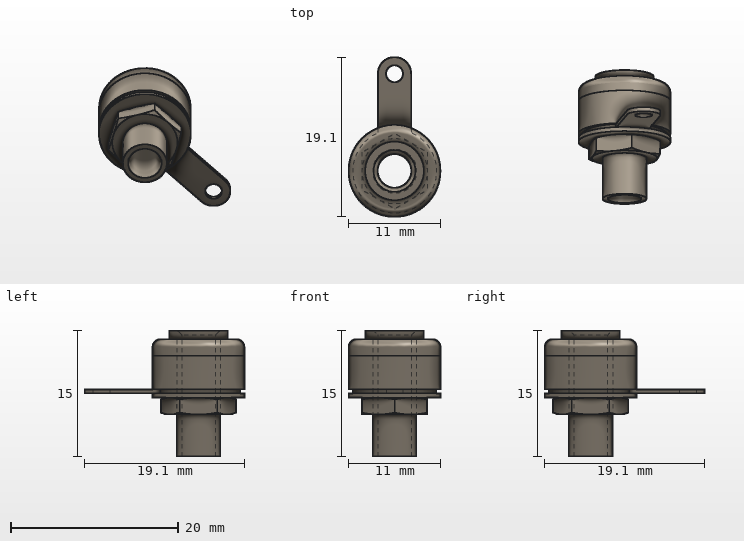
import cadquery as cq
import math

stem_exposed = 5.0
nut_height = 2.0
washer_thickness = 0.5
lug_thickness = 0.5
insulator_height = 4.0
cap_height = 2.0
head_height = 1.0

nut_bottom = stem_exposed
washer_bottom = nut_bottom + nut_height
lug_bottom = washer_bottom + washer_thickness
insulator_bottom = lug_bottom + lug_thickness
cap_bottom = insulator_bottom + insulator_height
head_bottom = cap_bottom + cap_height
socket_top = head_bottom + head_height

body_diameter = 11.0
stem_diameter = 5.25
head_diameter = 7.0
bore_diameter = 4.0
bore_mouth_diameter = 5.0
lug_ring_diameter = 10.0

cap_edge_radius = 1.0
bore_chamfer = (bore_mouth_diameter - bore_diameter) / 2

nut_across_corners = 9.0
nut_across_flats = nut_across_corners * math.cos(math.pi / 6)
nut_chamfer_angle = math.radians(20)

tail_width = 4.0
tail_hole_diameter = 2.0
tail_reach = 11.6


def ring(outer_diameter, bottom, height):
    """Flat ring around the stem."""
    return (
        cq.Workplane("XY", origin=(0, 0, bottom))
        .circle(outer_diameter / 2)
        .circle(stem_diameter / 2)
        .extrude(height)
    )


def make_socket():
    """Headed tube with a countersunk through bore."""
    stem = cq.Workplane("XY").circle(stem_diameter / 2).extrude(head_bottom)
    head = (
        cq.Workplane("XY", origin=(0, 0, head_bottom))
        .circle(head_diameter / 2)
        .extrude(head_height)
    )
    bore = cq.Workplane("XY").circle(bore_diameter / 2).extrude(socket_top)
    bore_rim = cq.selectors.RadiusNthSelector(0)
    tube = stem.union(head).cut(bore)
    return tube.faces(">Z").edges(bore_rim).chamfer(bore_chamfer)


def make_cap():
    """Insulating cap with a rounded upper rim."""
    outer_rim = cq.selectors.RadiusNthSelector(-1)
    blank = ring(body_diameter, cap_bottom, cap_height)
    return blank.faces(">Z").edges(outer_rim).fillet(cap_edge_radius)


def make_lug():
    """Ring terminal with a round-ended solder tail pointing to +Y."""
    plane = cq.Workplane("XY", origin=(0, 0, lug_bottom))
    disc = plane.circle(lug_ring_diameter / 2).extrude(lug_thickness)
    tail = (
        plane.moveTo(-tail_width / 2, 0)
        .lineTo(tail_width / 2, 0)
        .lineTo(tail_width / 2, tail_reach)
        .threePointArc((0, tail_reach + tail_width / 2), (-tail_width / 2, tail_reach))
        .close()
        .extrude(lug_thickness)
    )
    holes = (
        plane.circle(stem_diameter / 2)
        .moveTo(0, tail_reach)
        .circle(tail_hole_diameter / 2)
        .extrude(lug_thickness)
    )
    return disc.union(tail).cut(holes)


def make_nut():
    """Hexagonal nut with two flats facing X and its corners chamfered at both ends."""
    hexagon = (
        cq.Workplane("XY", origin=(0, 0, nut_bottom))
        .transformed(rotate=(0, 0, 90))
        .polygon(6, nut_across_corners)
        .circle(stem_diameter / 2)
        .extrude(nut_height)
    )
    corner_radius = nut_across_corners / 2
    end_radius = nut_across_flats / 2
    chamfer_height = (corner_radius - end_radius) * math.tan(nut_chamfer_angle)
    envelope = (
        cq.Workplane("XZ")
        .moveTo(0, nut_bottom)
        .lineTo(end_radius, nut_bottom)
        .lineTo(corner_radius, nut_bottom + chamfer_height)
        .lineTo(corner_radius, washer_bottom - chamfer_height)
        .lineTo(end_radius, washer_bottom)
        .lineTo(0, washer_bottom)
        .close()
        .revolve(360, (0, 0, 0), (0, 1, 0))
    )
    return hexagon.intersect(envelope)


socket = make_socket()
cap = make_cap()
insulator = ring(body_diameter, insulator_bottom, insulator_height)
lug = make_lug()
washer = ring(body_diameter, washer_bottom, washer_thickness)
nut = make_nut()

bodies = [socket, cap, insulator, lug, washer, nut]
result = cq.Compound.makeCompound([body.val() for body in bodies])